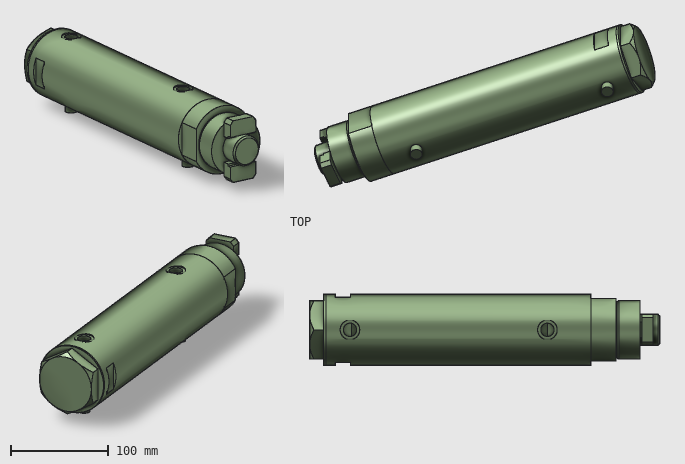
import cadquery as cq
import math

OVERALL_LENGTH = 357.5

TUBE_RADIUS = 36.5
TUBE_START = 16.5
TUBE_END = 287.0
BORE_RADIUS = 30.0
WRENCH_START = 26.0
WRENCH_LENGTH = 15.5
WRENCH_ACROSS_FLATS = 67.0

PORT_STATIONS = (41.0, 242.7)
PORT_RADIUS = 6.8
SPOTFACE_RADIUS = 10.0
SPOTFACE_DEPTH = 1.25

PEG_STATIONS = (40.8, 251.0)
PEG_RADIUS = 6.0
PEG_TIP = -45.0

HEX_ACROSS_FLATS = 59.7
HEX_LENGTH = 14.3
HEX_CHAMFER_LENGTH = 4.3
PLUG_END = 42.5

SPIGOT_START = PORT_STATIONS[1]
HEAD_END = 312.8
HEAD_ACROSS_FLATS = 64.0

SHAFT_RADIUS = 25.0
COLLAR_RADIUS = BORE_RADIUS
COLLAR_END = 337.5
RELIEF_RADIUS = 29.0
RELIEF_END = 314.0
RELIEF_TAPER_END = 315.5
STUD_DIAMETER = 31.8
STUD_CHAMFER = 1.8
NECK_ACROSS_FLATS = 27.5
NECK_END = 346.8

JAW_START = 339.3
JAW_END = 350.7
JAW_WIDTH = STUD_DIAMETER
JAW_TIP = 33.2
JAW_CHAMFER_WIDTH = 3.5
JAW_CHAMFER_HEIGHT = 4.3


def cylinder_x(radius, start, end):
    """Solid cylinder on the X axis between two stations."""
    return cq.Workplane("YZ", origin=(start, 0, 0)).circle(radius).extrude(end - start)


def block_x(width, height, start, end):
    """Rectangular block (width along Y, height along Z) centred on the X axis between two stations."""
    return cq.Workplane("YZ", origin=(start, 0, 0)).rect(width, height).extrude(end - start)


def cylinder_z(radius, x, bottom, top):
    """Solid upright cylinder at station x, in the plane Y = 0."""
    return cq.Workplane("XY", origin=(x, 0, bottom)).circle(radius).extrude(top - bottom)


def side_cuts(across_flats, start, end):
    """Material outside a pair of flats facing -Y and +Y."""
    outside = 2 * TUBE_RADIUS + 3.5
    return block_x(outside, outside, start, end).cut(block_x(across_flats, outside, start, end))


def make_tube():
    tube = cylinder_x(TUBE_RADIUS, TUBE_START, TUBE_END)
    for x in PEG_STATIONS:
        tube = tube.union(cylinder_z(PEG_RADIUS, x, PEG_TIP, -BORE_RADIUS))
    tube = tube.cut(cylinder_x(BORE_RADIUS, TUBE_START, TUBE_END))
    tube = tube.cut(side_cuts(WRENCH_ACROSS_FLATS, WRENCH_START, WRENCH_START + WRENCH_LENGTH))
    for x in PORT_STATIONS:
        tube = tube.cut(cylinder_z(PORT_RADIUS, x, 0, TUBE_RADIUS))
        tube = tube.cut(cylinder_z(SPOTFACE_RADIUS, x, TUBE_RADIUS - SPOTFACE_DEPTH, TUBE_RADIUS))
    return tube


def make_cap():
    corner_radius = HEX_ACROSS_FLATS / math.sqrt(3)
    hexagon = (
        cq.Workplane("YZ")
        .polygon(6, 2 * corner_radius)
        .extrude(HEX_LENGTH)
        .rotate((0, 0, 0), (1, 0, 0), 90)
    )
    chamfered_blank = (
        cq.Workplane("XY")
        .lineTo(0, HEX_ACROSS_FLATS / 2)
        .lineTo(HEX_CHAMFER_LENGTH, corner_radius)
        .lineTo(HEX_LENGTH, corner_radius)
        .lineTo(HEX_LENGTH, 0)
        .close()
        .revolve(360, (0, 0, 0), (1, 0, 0))
    )
    flange = cylinder_x(TUBE_RADIUS, HEX_LENGTH, TUBE_START)
    plug = cylinder_x(BORE_RADIUS, TUBE_START, PLUG_END)
    return hexagon.intersect(chamfered_blank).union(flange).union(plug)


def make_head():
    nose = cylinder_x(TUBE_RADIUS, TUBE_END, HEAD_END)
    nose = nose.cut(side_cuts(HEAD_ACROSS_FLATS, TUBE_END, HEAD_END))
    spigot = cylinder_x(BORE_RADIUS, SPIGOT_START, TUBE_END)
    return nose.union(spigot).cut(cylinder_x(SHAFT_RADIUS, SPIGOT_START, HEAD_END))


def make_stud():
    """Round stud whose neck carries flats facing -Z and +Z."""
    stud = cylinder_x(STUD_DIAMETER / 2, COLLAR_END, OVERALL_LENGTH)
    stud = stud.faces(">X").chamfer(STUD_CHAMFER)
    neck_envelope = block_x(STUD_DIAMETER, NECK_ACROSS_FLATS, COLLAR_END, NECK_END)
    head_envelope = block_x(STUD_DIAMETER, STUD_DIAMETER, NECK_END, OVERALL_LENGTH)
    return stud.intersect(neck_envelope.union(head_envelope))


def make_rod():
    shaft_and_collar = (
        cq.Workplane("XY")
        .moveTo(PLUG_END, 0)
        .lineTo(PLUG_END, SHAFT_RADIUS)
        .lineTo(HEAD_END, SHAFT_RADIUS)
        .lineTo(HEAD_END, RELIEF_RADIUS)
        .lineTo(RELIEF_END, RELIEF_RADIUS)
        .lineTo(RELIEF_TAPER_END, COLLAR_RADIUS)
        .lineTo(COLLAR_END, COLLAR_RADIUS)
        .lineTo(COLLAR_END, 0)
        .close()
        .revolve(360, (0, 0, 0), (1, 0, 0))
    )
    return shaft_and_collar.union(make_stud())


def make_jaw(side):
    """Jaw above (side = 1) or below (side = -1) the stud, stepped to clear the stud head."""
    half_width = JAW_WIDTH / 2
    tip_half_width = half_width - JAW_CHAMFER_WIDTH
    seat = side * NECK_ACROSS_FLATS / 2
    shoulder = side * (JAW_TIP - JAW_CHAMFER_HEIGHT)
    tip = side * JAW_TIP
    jaw = (
        cq.Workplane("YZ", origin=(JAW_START, 0, 0))
        .moveTo(-half_width, seat)
        .lineTo(half_width, seat)
        .lineTo(half_width, shoulder)
        .lineTo(tip_half_width, tip)
        .lineTo(-tip_half_width, tip)
        .lineTo(-half_width, shoulder)
        .close()
        .extrude(JAW_END - JAW_START)
    )
    return jaw.cut(block_x(JAW_WIDTH, STUD_DIAMETER, NECK_END, JAW_END))


tube = make_tube()
cap = make_cap()
head = make_head()
rod = make_rod()
jaws = [make_jaw(side) for side in (1, -1)]

result = cq.Compound.makeCompound(
    [tube.val(), cap.val(), head.val(), rod.val(), *[jaw.val() for jaw in jaws]]
)